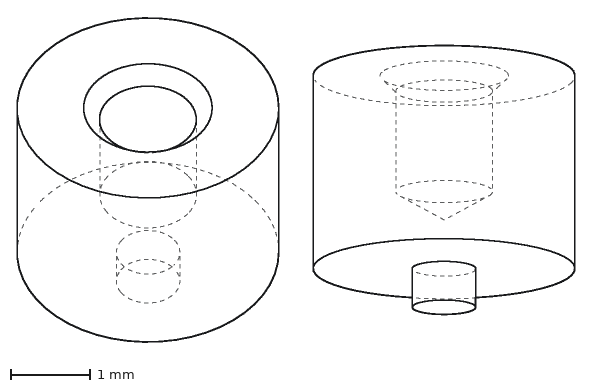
import cadquery as cq
import math

body_diameter = 3.3
body_height = 2.5
pin_diameter = 0.8
pin_length = 0.5

hole_diameter = 1.22
hole_depth = 1.5
drill_point_angle = 118.0
countersink_diameter = 1.62
countersink_angle = 90.0


def cone_height(large_diameter, small_diameter, included_angle):
    """Height of a cone frustum from its end diameters and included angle in degrees."""
    radius_change = (large_diameter - small_diameter) / 2
    return radius_change / math.tan(math.radians(included_angle / 2))


def make_body():
    """Round body standing on Z = 0, with the pin hanging below it."""
    body = cq.Workplane("XY").circle(body_diameter / 2).extrude(body_height)
    pin = cq.Workplane("XY").circle(pin_diameter / 2).extrude(-pin_length)
    return body.union(pin)


def make_hole():
    """Solid of the removed material: countersink, straight wall and drill point."""
    countersink_depth = cone_height(countersink_diameter, hole_diameter, countersink_angle)
    wall_bottom = body_height - hole_depth
    drill_tip = wall_bottom - cone_height(hole_diameter, 0, drill_point_angle)
    return (
        cq.Workplane("XZ")
        .moveTo(0, body_height)
        .lineTo(countersink_diameter / 2, body_height)
        .lineTo(hole_diameter / 2, body_height - countersink_depth)
        .lineTo(hole_diameter / 2, wall_bottom)
        .lineTo(0, drill_tip)
        .close()
        .revolve(360, (0, 0, 0), (0, 1, 0))
    )


result = make_body().cut(make_hole())